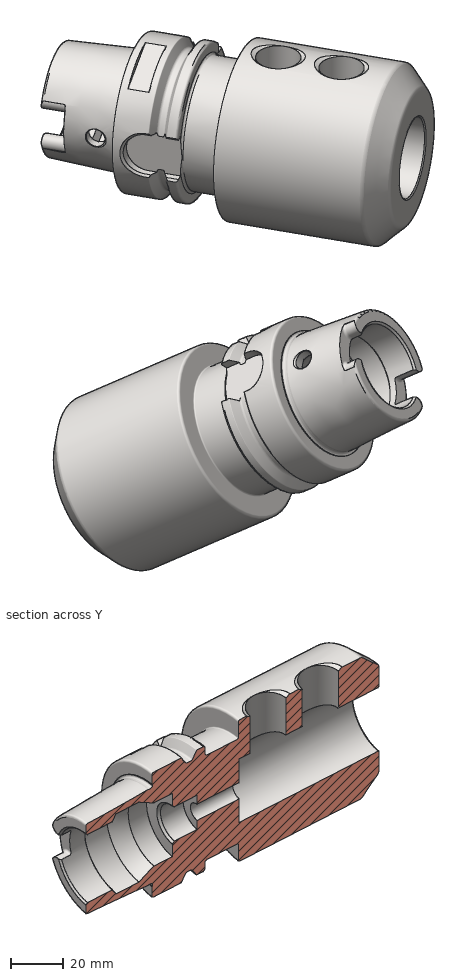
import cadquery as cq
import math


shank_length = 32.0
projection = 110.49
flange_width = 26.0
body_start = 42.0
cut_margin = 5.0

taper_gauge_dia = 48.01
taper_gauge_x = -6.3
taper_ratio = 1 / 9.98
flange_dia = 63.0
neck_dia = 52.8
body_dia = 71.37

shank_end_round = 1.0
flange_round = 1.0
neck_round = 1.0
neck_step_round = 0.5
body_round = 1.0
nose_chamfer = 8.6
nose_shoulder_round = 2.0
nose_end_round = 2.5

relief_length = 1.9
relief_dia = 48.24
relief_ramp = 0.7
face_recess_dia = 51.0
face_recess_depth = 0.3
relief_round = 0.8

groove_center = 18.13
groove_bottom_dia = 55.0
groove_bottom_width = 2.7
groove_half_angle = 30.0
groove_bottom_round = 0.9
groove_rim_round = 0.5

cavity_dia = 34.0
cavity_mouth_dia = 35.6
clamp_groove_start = -19.0
clamp_groove_dia = 40.0
clamp_entry_angle = 60.0
clamp_exit_start = -6.2
clamp_exit_angle = 30.0
cavity_inner_dia = 31.6
cavity_floor = 10.0
tube_thread_dia = 17.0
tube_thread_mouth_dia = 19.0
tube_thread_depth = 12.0
coolant_dia = 8.0

bore_dia = 31.75
bore_mouth_dia = 32.75
bore_depth = 68.0

key_width = 12.2
key_round = 3.0
key_floor_round = 1.0
key_depth_front = 10.0
key_depth_back = 5.6

access_dia = 7.5
access_mouth_dia = 8.5
access_sink_half_angle = 45.0
access_x = -9.1

slot_width = 17.32
slot_start = 4.3
slot_end = flange_width + cut_margin
slot_floor = 26.5
slot_chamfer = 1.0
notch_offset = 20.0
notch_round = 7.0
notch_tangent_x = 12.3
flat_start = 3.3
flat_width = 8.4
flat_tilt = 21.9
flat_span = 42.7

screw_dia = 17.32
screw_count = 2
screw_spacing = 25.4
screw_from_nose = 28.575
screw_sink_half_angle = 60.0


def turned(points):
    """Solid of revolution about X from (x, radius) points; the axis closes the outline."""
    outline = [(points[0][0], 0)] + points + [(points[-1][0], 0)]
    return cq.Workplane("XY").polyline(outline).close().revolve(360, (0, 0, 0), (1, 0, 0))


def circle_edge(solid, x, dia):
    """Circular edge about the X axis at the given position and diameter."""
    tol = 0.01

    def matches(edge):
        if edge.geomType() != "CIRCLE":
            return False
        return abs(edge.Center().x - x) < tol and abs(2 * edge.radius() - dia) < tol

    return solid.newObject([edge for edge in solid.edges().vals() if matches(edge)])


def round_circle(solid, x, dia, radius):
    return circle_edge(solid, x, dia).fillet(radius)


def taper_dia_at(x):
    return taper_gauge_dia + taper_ratio * (x - taper_gauge_x)


def outer_body():
    nose_dia = body_dia - 2 * nose_chamfer
    nose_shoulder = projection - nose_chamfer
    shank_end_dia = taper_dia_at(-shank_length)
    groove_half_bottom = groove_bottom_width / 2
    groove_flank = (flange_dia - groove_bottom_dia) / 2 * math.tan(math.radians(groove_half_angle))
    groove_half_rim = groove_half_bottom + groove_flank
    body = turned([
        (-shank_length, shank_end_dia / 2),
        (-relief_length, taper_dia_at(-relief_length) / 2),
        (-relief_length + relief_ramp, relief_dia / 2),
        (face_recess_depth, relief_dia / 2),
        (face_recess_depth, face_recess_dia / 2),
        (0, face_recess_dia / 2),
        (0, flange_dia / 2),
        (groove_center - groove_half_rim, flange_dia / 2),
        (groove_center - groove_half_bottom, groove_bottom_dia / 2),
        (groove_center + groove_half_bottom, groove_bottom_dia / 2),
        (groove_center + groove_half_rim, flange_dia / 2),
        (flange_width, flange_dia / 2),
        (flange_width, neck_dia / 2),
        (body_start, neck_dia / 2),
        (body_start, body_dia / 2),
        (nose_shoulder, body_dia / 2),
        (projection, nose_dia / 2),
    ])
    body = round_circle(body, -shank_length, shank_end_dia, shank_end_round)
    body = round_circle(body, face_recess_depth, relief_dia, relief_round)
    body = round_circle(body, 0, flange_dia, flange_round)
    for side in (-1, 1):
        bottom_x = groove_center + side * groove_half_bottom
        rim_x = groove_center + side * groove_half_rim
        body = round_circle(body, bottom_x, groove_bottom_dia, groove_bottom_round)
        body = round_circle(body, rim_x, flange_dia, groove_rim_round)
    body = round_circle(body, flange_width, flange_dia, flange_round)
    body = round_circle(body, flange_width, neck_dia, neck_round)
    body = round_circle(body, body_start, neck_dia, neck_step_round)
    body = round_circle(body, body_start, body_dia, body_round)
    body = round_circle(body, nose_shoulder, body_dia, nose_shoulder_round)
    return round_circle(body, projection, nose_dia, nose_end_round)


def flange_slot(side):
    """Round-ended slot cutter open toward +X; side is -1 for -Y or +1 for +Y."""
    radius = slot_width / 2
    center_x = slot_start + radius
    depth = flange_dia / 2 + cut_margin - slot_floor
    end = cq.Workplane("XZ").center(center_x, 0).circle(radius).extrude(-side * depth)
    run = (
        cq.Workplane("XZ")
        .center((center_x + slot_end) / 2, 0)
        .rect(slot_end - center_x, slot_width)
        .extrude(-side * depth)
    )
    return end.union(run).translate((0, side * slot_floor, 0))


def chamfered_flange_slot():
    """Cutter for the -Y slot, widened by a chamfer along the flange surface."""
    flange_radius = flange_dia / 2
    blank = cq.Workplane("YZ").circle(flange_radius).extrude(slot_end)
    slotted = blank.cut(flange_slot(-1))
    tol = 0.01

    def on_rim(edge):
        point = edge.positionAt(0.5)
        on_surface = abs(math.hypot(point.y, point.z) - flange_radius) < tol
        beside_slot = point.y < 0 and abs(point.z) < slot_width / 2 + tol
        between_ends = tol < point.x < slot_end - tol
        return on_surface and beside_slot and between_ends

    rim = slotted.newObject([edge for edge in slotted.edges().vals() if on_rim(edge)])
    return blank.cut(rim.chamfer(slot_chamfer))


def index_notch():
    """Corner cut with faces toward +Y and +Z, ending in a round toward the shank."""
    reach = flange_dia / 2 + cut_margin
    arc_mid = notch_round * math.sqrt(0.5)
    center_z = notch_offset + notch_round
    return (
        cq.Workplane("XZ", origin=(0, notch_offset, 0))
        .moveTo(flange_width, notch_offset)
        .lineTo(notch_tangent_x, notch_offset)
        .threePointArc(
            (notch_tangent_x - arc_mid, center_z - arc_mid),
            (notch_tangent_x - notch_round, center_z),
        )
        .lineTo(notch_tangent_x - notch_round, reach)
        .lineTo(flange_width, reach)
        .close()
        .extrude(-(reach - notch_offset))
    )


def flange_flat():
    """Flat on the flange rim, tilted from +Z toward -Y."""
    distance = flange_dia / 2 * math.cos(math.radians(flat_span / 2))
    cutter = cq.Workplane("XY").box(flat_width, flange_dia, cut_margin, centered=(False, True, False))
    return cutter.translate((flat_start, 0, distance)).rotate((0, 0, 0), (1, 0, 0), flat_tilt)


def shank_cavity():
    mouth_chamfer = (cavity_mouth_dia - cavity_dia) / 2
    entry_length = (clamp_groove_dia - cavity_dia) / 2 / math.tan(math.radians(clamp_entry_angle))
    exit_length = (clamp_groove_dia - cavity_inner_dia) / 2 / math.tan(math.radians(clamp_exit_angle))
    thread_chamfer = (tube_thread_mouth_dia - tube_thread_dia) / 2
    return turned([
        (-shank_length, cavity_mouth_dia / 2),
        (-shank_length + mouth_chamfer, cavity_dia / 2),
        (clamp_groove_start, cavity_dia / 2),
        (clamp_groove_start + entry_length, clamp_groove_dia / 2),
        (clamp_exit_start, clamp_groove_dia / 2),
        (clamp_exit_start + exit_length, cavity_inner_dia / 2),
        (cavity_floor, cavity_inner_dia / 2),
        (cavity_floor, tube_thread_mouth_dia / 2),
        (cavity_floor + thread_chamfer, tube_thread_dia / 2),
        (cavity_floor + tube_thread_depth, tube_thread_dia / 2),
        (cavity_floor + tube_thread_depth, coolant_dia / 2),
        (projection - bore_depth, coolant_dia / 2),
    ])


def tool_bore():
    mouth_chamfer = (bore_mouth_dia - bore_dia) / 2
    return turned([
        (projection - bore_depth, bore_dia / 2),
        (projection - mouth_chamfer, bore_dia / 2),
        (projection, bore_mouth_dia / 2),
    ])


def drive_key(side, depth):
    """Key slot in the shank end; its walls round over into the outside of the taper."""
    half = key_width / 2
    rim_radius = taper_dia_at(-shank_length) / 2
    inner_y = cavity_inner_dia / 4
    outer = taper_gauge_dia / 2 + cut_margin
    center_z = half + key_round
    center_radius = rim_radius - key_round
    center_y = math.sqrt(center_radius ** 2 - center_z ** 2)
    rim_angle = math.atan2(center_z, center_y)
    mid_angle = (rim_angle - math.pi / 2) / 2
    arc_mid = (center_y + key_round * math.cos(mid_angle), center_z + key_round * math.sin(mid_angle))
    rim_point = (rim_radius * math.cos(rim_angle), rim_radius * math.sin(rim_angle))
    far_point = (outer * math.cos(rim_angle), outer * math.sin(rim_angle))

    cutter = (
        cq.Workplane("YZ", origin=(-shank_length, 0, 0))
        .moveTo(inner_y, -half)
        .lineTo(center_y, -half)
        .threePointArc((arc_mid[0], -arc_mid[1]), (rim_point[0], -rim_point[1]))
        .lineTo(far_point[0], -far_point[1])
        .threePointArc((outer, 0), far_point)
        .lineTo(*rim_point)
        .threePointArc(arc_mid, (center_y, half))
        .lineTo(inner_y, half)
        .close()
        .extrude(depth)
    )
    floor_edges = cutter.faces(">X").edges()
    wall_edges = floor_edges.filter(lambda edge: abs(edge.Center().z) > half / 2)
    cutter = wall_edges.fillet(key_floor_round)
    return cutter if side > 0 else cutter.mirror("XZ")


def countersunk_cutter(dia, sink_z, half_angle, top_z):
    """Hole along Z from the part axis, widening as a cone from sink_z up to top_z."""
    radius = dia / 2
    top_radius = radius + (top_z - sink_z) * math.tan(math.radians(half_angle))
    return (
        cq.Workplane("XZ")
        .polyline([(0, 0), (radius, 0), (radius, sink_z), (top_radius, top_z), (0, top_z)])
        .close()
        .revolve(360, (0, 0, 0), (0, 1, 0))
    )


def access_hole(side):
    """Radial hole through the shank wall toward -Y (side -1) or +Y (side +1)."""
    surface = taper_dia_at(access_x) / 2
    sink_depth = (access_mouth_dia - access_dia) / 2
    sink_z = surface - sink_depth
    top_z = surface + sink_depth
    cutter = countersunk_cutter(access_dia, sink_z, access_sink_half_angle, top_z)
    return cutter.rotate((0, 0, 0), (1, 0, 0), -side * 90).translate((access_x, 0, 0))


def screw_hole(x):
    """Radial hole from +Z into the tool bore; its countersink fades out at the hole's sides."""
    body_radius = body_dia / 2
    sink_z = math.sqrt(body_radius ** 2 - (screw_dia / 2) ** 2)
    cutter = countersunk_cutter(screw_dia, sink_z, screw_sink_half_angle, body_radius + cut_margin)
    return cutter.translate((x, 0, 0))


result = outer_body()
result = result.cut(flange_slot(1))
result = result.cut(chamfered_flange_slot())
result = result.cut(index_notch())
result = result.cut(flange_flat())
result = result.cut(shank_cavity())
result = result.cut(tool_bore())
result = result.cut(drive_key(-1, key_depth_front))
result = result.cut(drive_key(1, key_depth_back))
for side in (-1, 1):
    result = result.cut(access_hole(side))
for index in range(screw_count):
    result = result.cut(screw_hole(projection - screw_from_nose - index * screw_spacing))